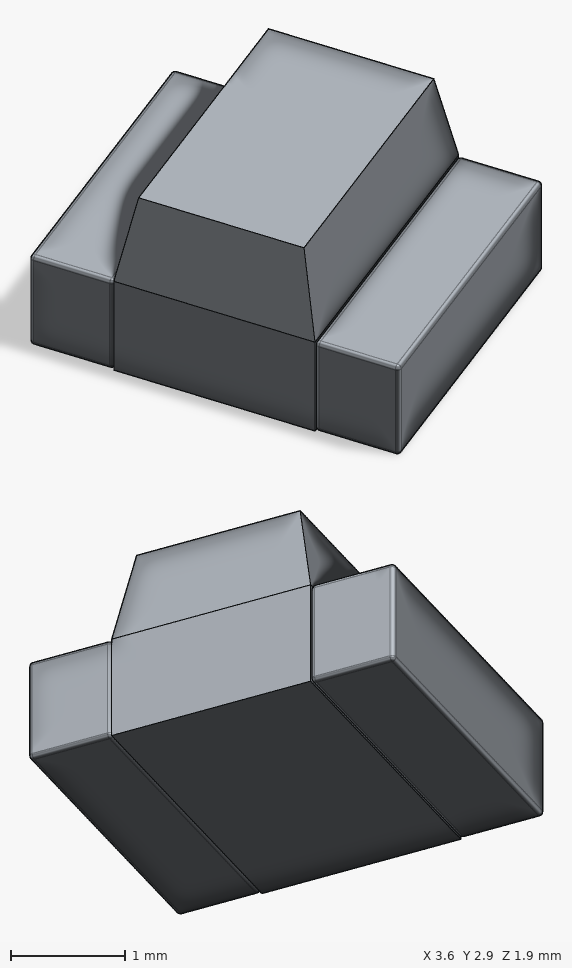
import cadquery as cq

length = 3.6
width = 2.9
height = 1.9

terminal_length = 0.82
terminal_fillet = 0.04

base_height = 1.0
base_length = length - 2 * terminal_length

lens_height = height - base_height
lens_top_length = 1.61
lens_top_width = 2.62


def make_terminal(side):
    """Block with all edges rounded; side is -1 for the -X end, +1 for the +X end."""
    center_x = side * (length - terminal_length) / 2
    return (
        cq.Workplane("XY")
        .box(terminal_length, width, base_height, centered=(True, True, False))
        .edges()
        .fillet(terminal_fillet)
        .translate((center_x, 0, 0))
    )


def make_base():
    """Plain rectangular block filling the space between the terminals."""
    return cq.Workplane("XY").box(base_length, width, base_height, centered=(True, True, False))


def make_lens():
    """Truncated pyramid that covers the whole top face of the base."""
    return (
        cq.Workplane("XY")
        .workplane(offset=base_height)
        .rect(base_length, width)
        .workplane(offset=lens_height)
        .rect(lens_top_length, lens_top_width)
        .loft(ruled=True)
    )


terminals = [make_terminal(side) for side in (-1, 1)]
base = make_base()
lens = make_lens()

result = cq.Compound.makeCompound(
    [base.val(), lens.val(), *[terminal.val() for terminal in terminals]]
)